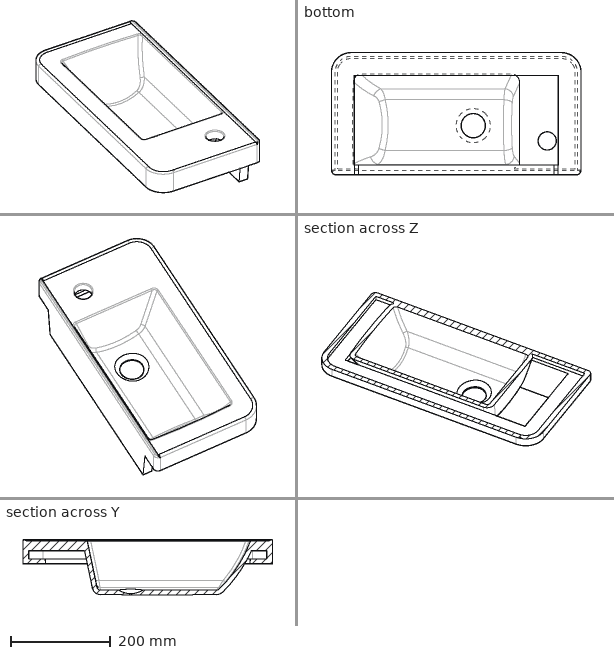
import cadquery as cq
import math

length = 500.0
depth = 245.0
front_corner_radius = 40.0
back_corner_radius = 10.0
edge_height = 45.0
deck_height = 46.0
lip_height = 49.29

rim_width = 7.6
rim_crest_inset = 3.2
rim_crest_height = 48.2
rim_inner_slope = 0.7

lip_flat_width = 6.0
lip_edge_round = 3.0
lip_front_round = lip_height - deck_height

deck_thickness = 20.0
floor_thickness = 10.0
skirt_thickness = 12.0

plate_inset = 46.0
plate_height = 75.0
plate_thickness = 20.0
plate_end_taper = 8.0

bowl_wall = 10.0
bowl_left = 44.5
bowl_right = 370.8
bowl_front = -199.7
bowl_back = -11.5
bowl_floor = -54.0
floor_arc_radius = 166.0
floor_arc_center_y = -100.0
front_wall_slope = 0.46
back_wall_slope = 0.27
right_wall_slope = 0.21
left_floor_x = 111.0
left_wall_sag = 7.0
left_bow_radius = 1500.0
front_blend_radius = 25.0
back_blend_radius = 31.0
bowl_corner_radius = 7.0
bowl_rim_radius = 3.0

drain_x = 284.0
drain_y = -98.5
drain_diameter = 48.0
drain_seat_diameter = 68.5
drain_seat_depth = 7.0

tap_x = 432.0
tap_y = -68.0
tap_diameter = 36.0
tap_edge_round = 2.0

OVERSHOOT = 5.0


def slab_body(inset, bottom, top):
    """Slab outline moved inward by inset, extruded between two heights."""
    body = (
        cq.Workplane("XY", origin=(0, 0, bottom))
        .center(length / 2, -depth / 2)
        .rect(length - 2 * inset, depth - 2 * inset)
        .extrude(top - bottom)
    )
    body = body.edges("|Z and <Y").fillet(front_corner_radius - inset)
    return body.edges("|Z and >Y").fillet(max(back_corner_radius - inset, 1.0))


def rim_bead():
    """Rounded bead swept along the left, front and right edges of the deck."""
    r = front_corner_radius
    bend = r * (1 - math.sqrt(0.5))
    start = -back_corner_radius
    path = (
        cq.Workplane("XY", origin=(0, 0, edge_height))
        .moveTo(0, start)
        .lineTo(0, r - depth)
        .threePointArc((bend, bend - depth), (r, -depth))
        .lineTo(length - r, -depth)
        .threePointArc((length - bend, bend - depth), (length, r - depth))
        .lineTo(length, start)
    )
    crest = (rim_crest_inset, rim_crest_height - edge_height)
    inner_foot = (rim_width, deck_height - edge_height)
    profile = (
        cq.Workplane("XZ", origin=(0, start, edge_height))
        .spline([crest, inner_foot], tangents=[(0, 1), (1, -rim_inner_slope)], includeCurrent=True)
        .lineTo(rim_width, 0)
        .close()
    )
    return profile.sweep(path)


def back_lip():
    """Lip along the back edge, rounded on its outer edges and down to the deck in front."""
    blank = slab_body(0, 0, lip_height).faces(">Z").edges().fillet(lip_edge_round)
    arc_reach = lip_front_round * math.sqrt(0.5)
    front = -lip_flat_width - lip_front_round
    section = (
        cq.Workplane("YZ")
        .lineTo(0, lip_height)
        .lineTo(-lip_flat_width, lip_height)
        .threePointArc((-lip_flat_width - arc_reach, deck_height + arc_reach), (front, deck_height))
        .lineTo(front, 0)
        .close()
        .extrude(length)
    )
    return blank.intersect(section)


def hollow():
    """Space under the deck together with its opening through the floor."""
    space = slab_body(skirt_thickness, floor_thickness, deck_height - deck_thickness)
    end_slope = plate_end_taper / plate_height
    low = plate_inset + OVERSHOOT * end_slope
    high = plate_inset - floor_thickness * end_slope
    opening = (
        cq.Workplane("XZ", origin=(0, -plate_thickness, 0))
        .moveTo(low, -OVERSHOOT)
        .lineTo(length - low, -OVERSHOOT)
        .lineTo(length - high, floor_thickness)
        .lineTo(high, floor_thickness)
        .close()
        .extrude(depth - plate_thickness - plate_inset)
    )
    return space.union(opening)


def mounting_plate():
    """Plate with tapered ends hanging below the back edge."""
    low = plate_inset + plate_end_taper
    return (
        cq.Workplane("XZ")
        .moveTo(plate_inset, 0)
        .lineTo(length - plate_inset, 0)
        .lineTo(length - low, -plate_height)
        .lineTo(low, -plate_height)
        .close()
        .extrude(plate_thickness)
    )


def bowl_body(offset):
    """Bowl surface moved outward by offset, as a solid cut off flat above the deck."""
    top = deck_height + OVERSHOOT
    base = bowl_floor - offset

    def wall_shift(slope):
        return offset * math.hypot(1, slope)

    front_y = bowl_front - wall_shift(front_wall_slope)
    back_y = bowl_back + wall_shift(back_wall_slope)
    floor_drop = deck_height - base + OVERSHOOT
    walls = (
        cq.Workplane("YZ")
        .moveTo(front_y - front_wall_slope * OVERSHOOT, top)
        .lineTo(front_y + front_wall_slope * floor_drop, base - OVERSHOOT)
        .lineTo(back_y - back_wall_slope * floor_drop, base - OVERSHOOT)
        .lineTo(back_y + back_wall_slope * OVERSHOOT, top)
        .close()
        .extrude(length)
    )
    arc_radius = floor_arc_radius + offset
    floor_arc = (
        cq.Workplane("YZ")
        .center(floor_arc_center_y, base + arc_radius)
        .circle(arc_radius)
        .extrude(length)
    )
    section = walls.intersect(floor_arc)
    feet = section.edges("|X and (not >Z)")
    section = feet.edges("<Y").fillet(front_blend_radius + offset)
    section = section.edges("|X and (not >Z)").edges(">Y").fillet(back_blend_radius + offset)

    right_x = bowl_right + wall_shift(right_wall_slope)
    right_foot = right_x - right_wall_slope * (deck_height - base + OVERSHOOT)
    right_limit = (
        cq.Workplane("XZ", origin=(0, OVERSHOOT, 0))
        .moveTo(0, top)
        .lineTo(right_x + right_wall_slope * OVERSHOOT, top)
        .lineTo(right_foot, base - OVERSHOOT)
        .lineTo(0, base - OVERSHOOT)
        .close()
        .extrude(depth + OVERSHOOT)
    )

    half_run = (left_floor_x - bowl_left) / 2
    half_drop = (deck_height - bowl_floor) / 2
    half_chord = math.hypot(half_run, half_drop)
    bulge_radius = (half_chord**2 + left_wall_sag**2) / (2 * left_wall_sag)
    center_reach = (bulge_radius - left_wall_sag) / half_chord
    center_x = bowl_left + half_run + half_drop * center_reach
    center_z = deck_height - half_drop + half_run * center_reach
    axis_x = bowl_left + left_bow_radius

    def left_point(z):
        """Point of the left wall at height z, measured from the turning axis."""
        x = center_x - math.sqrt((bulge_radius + offset) ** 2 - (z - center_z) ** 2)
        return x - axis_x, z

    bottom = base - OVERSHOOT
    left_limit = (
        cq.Workplane("XZ", origin=(axis_x, floor_arc_center_y, 0))
        .moveTo(0, top)
        .lineTo(*left_point(top))
        .threePointArc(left_point((top + bottom) / 2), left_point(bottom))
        .lineTo(0, bottom)
        .close()
        .revolve(360, (0, 0), (0, 1))
    )
    bowl = section.intersect(right_limit).intersect(left_limit)
    end_edges = bowl.edges("not >Z").edges("not |X").edges("not |Y")
    return bowl.newObject(end_edges.vals()).fillet(bowl_corner_radius + offset)


def vertical_hole(x, y, diameter, bottom, top):
    """Cutting cylinder for a round hole."""
    return cq.Workplane("XY", origin=(x, y, bottom)).circle(diameter / 2).extrude(top - bottom)


basin = slab_body(0, 0, edge_height)
basin = basin.union(slab_body(rim_width, edge_height, deck_height))
basin = basin.cut(hollow())

bowl_shell = bowl_body(bowl_wall).intersect(slab_body(0, -plate_height, deck_height))
basin = basin.union(bowl_shell)
basin = basin.cut(bowl_body(0))

bowl_opening = basin.faces(">Z").val().innerWires()[0]
basin = basin.newObject(bowl_opening.Edges()).fillet(bowl_rim_radius)

drain = vertical_hole(drain_x, drain_y, drain_diameter, bowl_floor - bowl_wall - OVERSHOOT, 0)
basin = basin.cut(drain)
drain_edge = basin.edges(cq.selectors.NearestToPointSelector((drain_x, drain_y, bowl_floor)))
basin = drain_edge.chamfer((drain_seat_diameter - drain_diameter) / 2, drain_seat_depth)

basin = basin.cut(vertical_hole(tap_x, tap_y, tap_diameter, 0, deck_height))
tap_edge = basin.edges(cq.selectors.NearestToPointSelector((tap_x, tap_y, deck_height)))
basin = tap_edge.fillet(tap_edge_round)

basin = basin.union(rim_bead())
basin = basin.union(back_lip())
result = basin.union(mounting_plate())